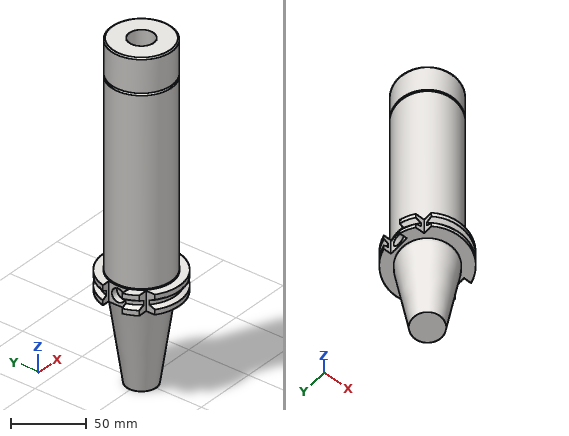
import cadquery as cq
import math

total_height = 268.5
gauge_height = 68.5
flange_bottom = 71.7
flange_top = 87.5
head_length = 27.5
neck_length = 2.0
collar_height = 0.8

taper_radius = 22.3
taper_slope = 7 / 48
body_radius = 25.0
collar_radius = 25.2
neck_radius = 21.0
flange_radius = 63.5 / 2
top_chamfer = 1.0

groove_middle = 79.5
groove_mouth = 7.5
groove_flank_angle = 30
groove_radius = 28.2

slot_width = 16.0
slot_floor = 24.7
notch_offset = 18.5
side_hole_diameter = 10.7
side_hole_depth = 5.5
bore_diameter = 20.0
bore_depth = 51.0

groove_floor = groove_mouth - 2 * (flange_radius - groove_radius) * math.tan(math.radians(groove_flank_angle))
flange_height = flange_top - flange_bottom
flange_middle = (flange_top + flange_bottom) / 2
small_end_radius = taper_radius - gauge_height * taper_slope


def turned_shape():
    """Revolve the taper, grooved flange, body and head about Z."""
    head_bottom = total_height - head_length
    neck_bottom = head_bottom - neck_length
    collar_top = flange_top + collar_height
    profile = [
        (0, 0),
        (small_end_radius, 0),
        (taper_radius, gauge_height),
        (taper_radius, flange_bottom),
        (flange_radius, flange_bottom),
        (flange_radius, groove_middle - groove_mouth / 2),
        (groove_radius, groove_middle - groove_floor / 2),
        (groove_radius, groove_middle + groove_floor / 2),
        (flange_radius, groove_middle + groove_mouth / 2),
        (flange_radius, flange_top),
        (collar_radius, flange_top),
        (collar_radius, collar_top),
        (body_radius, collar_top),
        (body_radius, neck_bottom),
        (neck_radius, neck_bottom),
        (neck_radius, head_bottom),
        (body_radius, head_bottom),
        (body_radius, total_height - top_chamfer),
        (body_radius - top_chamfer, total_height),
        (0, total_height),
    ]
    return cq.Workplane("XZ").polyline(profile).close().revolve(360, (0, 0), (0, 1))


def drive_slot(side):
    """Flat-floored slot through the flange on the +X or -X side."""
    slot_depth = flange_radius - slot_floor
    slot_middle = side * (slot_floor + slot_depth / 2)
    return cq.Workplane("XY", origin=(slot_middle, 0, flange_middle)).box(
        slot_depth, slot_width, flange_height
    )


def side_hole():
    """Blind hole in the floor of the -X drive slot."""
    return (
        cq.Workplane("YZ", origin=(-slot_floor, 0, flange_middle))
        .circle(side_hole_diameter / 2)
        .extrude(side_hole_depth)
    )


def orientation_notch():
    """Square-cornered notch through the flange at the -X, -Y quarter."""
    return (
        cq.Workplane("XY", origin=(-notch_offset, -notch_offset, flange_bottom))
        .rect(-flange_radius, -flange_radius, centered=False)
        .extrude(flange_height)
    )


def tool_bore():
    """Blind bore in the top of the head."""
    return (
        cq.Workplane("XY", origin=(0, 0, total_height - bore_depth))
        .circle(bore_diameter / 2)
        .extrude(bore_depth)
    )


result = turned_shape()
for side in (-1, 1):
    result = result.cut(drive_slot(side))
result = result.cut(side_hole()).cut(orientation_notch()).cut(tool_bore())